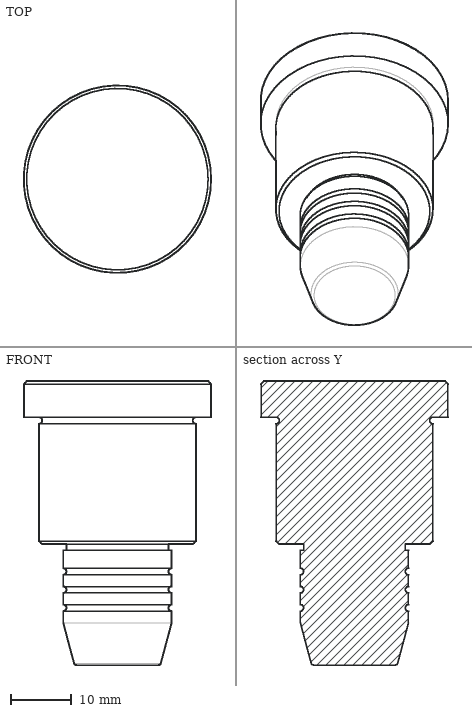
import cadquery as cq
import math

length = 47.0
head_radius = 15.5
head_height = 6.0
edge_chamfer = 0.5

body_radius = 26.0 / 2
body_bottom = 20.0

stem_radius = 9.0
neck_height = 1.0
neck_depth = 0.5

tip_height = 7.0
taper_angle = 15.0
tip_fillet = 0.5

groove_radius = 0.5
groove_pitch = 3.0
groove_count = 3
top_groove_height = 15.5


def cylinder(radius, bottom, top):
    return cq.Workplane("XY").workplane(offset=bottom).circle(radius).extrude(top - bottom)


def groove_ring(radius, height):
    """Ring cutter of round section, centred on a cylinder surface."""
    return cq.Workplane(cq.Solid.makeTorus(radius, groove_radius, cq.Vector(0, 0, height)))


def make_tip():
    end_radius = stem_radius - tip_height * math.tan(math.radians(taper_angle))
    cone = cq.Solid.makeCone(end_radius, stem_radius, tip_height)
    return cq.Workplane(cone).faces("<Z").fillet(tip_fillet)


head_bottom = length - head_height
stem_top = body_bottom - neck_height

head = cylinder(head_radius, head_bottom, length).faces(">Z").chamfer(edge_chamfer)

body = cylinder(body_radius, body_bottom, head_bottom).faces("<Z").chamfer(edge_chamfer)
body = body.cut(groove_ring(body_radius, head_bottom - groove_radius))

neck = cylinder(stem_radius - neck_depth, stem_top, body_bottom)

stem = cylinder(stem_radius, tip_height, stem_top)
for index in range(groove_count):
    stem = stem.cut(groove_ring(stem_radius, top_groove_height - index * groove_pitch))

result = head.union(body).union(neck).union(stem).union(make_tip())